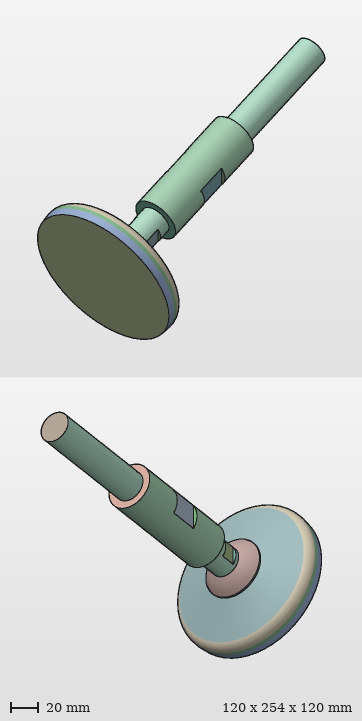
import cadquery as cq
import math


TOTAL_LENGTH = 254.0
SLEEVE_LENGTH = 95.0
STUD_ABOVE_SLEEVE = 95.0
SLEEVE_BOTTOM = TOTAL_LENGTH - STUD_ABOVE_SLEEVE - SLEEVE_LENGTH

STUD_RADIUS = 12.0
SLEEVE_RADIUS = 18.0

STUD_FLAT_WIDTH = 19.0
STUD_FLAT_LENGTH = 13.0
STUD_FLAT_BOTTOM = 40.8
SLEEVE_FLAT_WIDTH = 30.0
SLEEVE_FLAT_LENGTH = 25.0
SLEEVE_FLAT_BOTTOM = SLEEVE_BOTTOM + (SLEEVE_LENGTH - SLEEVE_FLAT_LENGTH) / 2

BASE_RADIUS = 60.0
UNDERSIDE_RADIUS = 59.3
RIM_BOTTOM = 6.0
RIM_TOP = 9.0
SHOULDER_RADIUS = 7.5
CONE_ANGLE = math.radians(18.0)

DOME_RADIUS = 29.0
DOME_CENTRE_HEIGHT = 11.0
COLLAR_RADIUS = 23.7


def dome_height(radius):
    """Height of the dome surface at a given distance from the axis."""
    return DOME_CENTRE_HEIGHT + math.sqrt(DOME_RADIUS**2 - radius**2)


def cut_wrench_flats(body, outer_radius, width, length, bottom):
    """Cut two flats, facing -X and +X, into a round body along Y."""
    depth = outer_radius - width / 2
    for side in (-1, 1):
        cutter = cq.Workplane("XY").box(depth, length, 2 * outer_radius)
        cutter = cutter.translate((side * (width + depth) / 2, bottom + length / 2, 0))
        body = body.cut(cutter)
    return body


def make_foot():
    """Base plate, dome and stud, turned as one piece."""
    shoulder_centre = BASE_RADIUS - SHOULDER_RADIUS

    def shoulder_point(angle):
        return (
            shoulder_centre + SHOULDER_RADIUS * math.cos(angle),
            RIM_TOP + SHOULDER_RADIUS * math.sin(angle),
        )

    shoulder_end_angle = math.pi / 2 - CONE_ANGLE
    cone_start = shoulder_point(shoulder_end_angle)
    cone_top = cone_start[1] + (cone_start[0] - COLLAR_RADIUS) * math.tan(CONE_ANGLE)
    dome_middle = (COLLAR_RADIUS + STUD_RADIUS) / 2

    foot = (
        cq.Workplane("XY")
        .lineTo(UNDERSIDE_RADIUS, 0)
        .lineTo(BASE_RADIUS, RIM_BOTTOM)
        .lineTo(BASE_RADIUS, RIM_TOP)
        .threePointArc(shoulder_point(shoulder_end_angle / 2), cone_start)
        .lineTo(COLLAR_RADIUS, cone_top)
        .lineTo(COLLAR_RADIUS, dome_height(COLLAR_RADIUS))
        .threePointArc(
            (dome_middle, dome_height(dome_middle)),
            (STUD_RADIUS, dome_height(STUD_RADIUS)),
        )
        .lineTo(STUD_RADIUS, TOTAL_LENGTH)
        .lineTo(0, TOTAL_LENGTH)
        .close()
        .revolve(360, (0, 0, 0), (0, 1, 0))
    )
    return cut_wrench_flats(foot, STUD_RADIUS, STUD_FLAT_WIDTH, STUD_FLAT_LENGTH, STUD_FLAT_BOTTOM)


def make_sleeve():
    """Round sleeve with a through bore that fits the stud."""
    sleeve = (
        cq.Workplane("XZ", origin=(0, SLEEVE_BOTTOM, 0))
        .circle(SLEEVE_RADIUS)
        .circle(STUD_RADIUS)
        .extrude(-SLEEVE_LENGTH)
    )
    return cut_wrench_flats(
        sleeve, SLEEVE_RADIUS, SLEEVE_FLAT_WIDTH, SLEEVE_FLAT_LENGTH, SLEEVE_FLAT_BOTTOM
    )


foot = make_foot()
sleeve = make_sleeve()

result = cq.Compound.makeCompound([foot.val(), sleeve.val()])